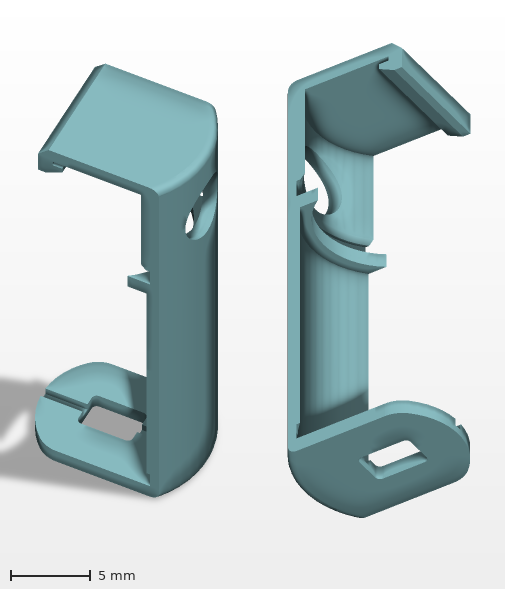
import cadquery as cq
import math

LENGTH = 11.5
WIDTH = 8.0
HEIGHT = 29.5
HALF_WIDTH = WIDTH / 2

OUTER_RADIUS = 6.35
AXIS_X = LENGTH - OUTER_RADIUS
UPPER_WALL_RADIUS = 5.43
LOWER_WALL_RADIUS = 5.7
WALL_RELIEF_RADIUS = 5.87
SHELF_RADIUS = 4.85
RIM_FILLET = 0.53

PLATE_THICKNESS = 1.0
LOWER_RELIEF_TOP = 2.12
SHELF_BOTTOM = 19.3
SHELF_TOP = SHELF_BOTTOM + PLATE_THICKNESS
UPPER_WALL_BOTTOM = 21.5
UPPER_WALL_BEVEL_HEIGHT = 0.38
UPPER_WALL_BEVEL_DEPTH = 0.25

TIP_RADIUS = 4.72
TIP_CORNER_RADIUS = 2.07
GROOVE_WIDTH = 0.68
GROOVE_DEPTH = 0.5
WINDOW_START = 2.95
WINDOW_END = 6.75
WINDOW_WIDTH = 2.55
WINDOW_FILLET = 0.35

ROOF_UNDERSIDE = HEIGHT - 0.97
ROOF_FRONT = 1.65
ROOF_BEVEL_LENGTH = 0.75
ROOF_BEVEL_HEIGHT = 0.7
HOOK_BOTTOM = 27.27
HOOK_TOE_END = 2.2
HOOK_INNER = 2.65
HOOK_TIP = 3.33
HOOK_TIP_BOTTOM = 27.83
HOOK_TIP_TOP = 28.2

OPENING_DIAMETER = 4.55
OPENING_HEIGHT = 24.6


def back_shell():
    """Stepped wall, its shelf, and the round backs of the plate and the roof."""
    bevel_top = UPPER_WALL_BOTTOM + UPPER_WALL_BEVEL_HEIGHT
    bevel_radius = UPPER_WALL_RADIUS + UPPER_WALL_BEVEL_DEPTH
    rim_radius = OUTER_RADIUS - RIM_FILLET
    revolved = (
        cq.Workplane("XZ")
        .moveTo(0, 0)
        .lineTo(rim_radius, 0)
        .radiusArc((OUTER_RADIUS, RIM_FILLET), -RIM_FILLET)
        .lineTo(OUTER_RADIUS, HEIGHT - RIM_FILLET)
        .radiusArc((rim_radius, HEIGHT), -RIM_FILLET)
        .lineTo(0, HEIGHT)
        .lineTo(0, ROOF_UNDERSIDE)
        .lineTo(UPPER_WALL_RADIUS, ROOF_UNDERSIDE)
        .lineTo(UPPER_WALL_RADIUS, bevel_top)
        .lineTo(bevel_radius, UPPER_WALL_BOTTOM)
        .lineTo(WALL_RELIEF_RADIUS, UPPER_WALL_BOTTOM)
        .lineTo(WALL_RELIEF_RADIUS, SHELF_TOP)
        .lineTo(SHELF_RADIUS, SHELF_TOP)
        .lineTo(SHELF_RADIUS, SHELF_BOTTOM)
        .lineTo(LOWER_WALL_RADIUS, SHELF_BOTTOM)
        .lineTo(LOWER_WALL_RADIUS, LOWER_RELIEF_TOP)
        .lineTo(WALL_RELIEF_RADIUS, LOWER_RELIEF_TOP)
        .lineTo(WALL_RELIEF_RADIUS, PLATE_THICKNESS)
        .lineTo(0, PLATE_THICKNESS)
        .close()
        .revolve(360, (0, 0), (0, 1))
        .translate((AXIS_X, 0, 0))
    )
    back_half = (
        cq.Workplane("XY")
        .box(OUTER_RADIUS, WIDTH, HEIGHT, centered=(False, True, False))
        .translate((AXIS_X, 0, 0))
    )
    return revolved.intersect(back_half)


def base_plate():
    """Front part of the plate, up to the wall axis, with a round tip blended into its straight sides."""
    corner_y = HALF_WIDTH - TIP_CORNER_RADIUS
    centre_distance = TIP_RADIUS - TIP_CORNER_RADIUS
    blend_angle = math.asin(corner_y / centre_distance)
    corner_x = TIP_RADIUS - centre_distance * math.cos(blend_angle)
    blend_x = TIP_RADIUS * (1 - math.cos(blend_angle))
    blend_y = TIP_RADIUS * math.sin(blend_angle)
    middle_angle = (blend_angle + math.pi / 2) / 2
    middle_x = corner_x - TIP_CORNER_RADIUS * math.cos(middle_angle)
    middle_y = corner_y + TIP_CORNER_RADIUS * math.sin(middle_angle)
    return (
        cq.Workplane("XY")
        .moveTo(AXIS_X, -HALF_WIDTH)
        .lineTo(corner_x, -HALF_WIDTH)
        .threePointArc((middle_x, -middle_y), (blend_x, -blend_y))
        .threePointArc((0, 0), (blend_x, blend_y))
        .threePointArc((middle_x, middle_y), (corner_x, HALF_WIDTH))
        .lineTo(AXIS_X, HALF_WIDTH)
        .close()
        .extrude(PLATE_THICKNESS)
    )


def base_groove():
    """Shallow centre groove from the plate tip to the curved foot of the wall."""
    groove_floor = cq.Workplane("XY", origin=(0, 0, PLATE_THICKNESS - GROOVE_DEPTH))
    strip = groove_floor.box(LENGTH, GROOVE_WIDTH, GROOVE_DEPTH, centered=(False, True, False))
    inside_wall = groove_floor.center(AXIS_X, 0).circle(WALL_RELIEF_RADIUS).extrude(GROOVE_DEPTH)
    return strip.intersect(inside_wall)


def base_window():
    """Rounded rectangular window through the plate."""
    return (
        cq.Workplane("XY")
        .center((WINDOW_START + WINDOW_END) / 2, 0)
        .rect(WINDOW_END - WINDOW_START, WINDOW_WIDTH)
        .extrude(PLATE_THICKNESS)
        .edges("|Z")
        .fillet(WINDOW_FILLET)
    )


def roof():
    """Front part of the roof, up to the wall axis, with a bevelled front edge and a snap hook below it."""
    section = [
        (AXIS_X, HEIGHT),
        (ROOF_FRONT + ROOF_BEVEL_LENGTH, HEIGHT),
        (ROOF_FRONT, HEIGHT - ROOF_BEVEL_HEIGHT),
        (ROOF_FRONT, HOOK_BOTTOM),
        (HOOK_TOE_END, HOOK_BOTTOM),
        (HOOK_TIP, HOOK_TIP_BOTTOM),
        (HOOK_TIP, HOOK_TIP_TOP),
        (HOOK_INNER, HOOK_TIP_TOP),
        (HOOK_INNER, ROOF_UNDERSIDE),
        (AXIS_X, ROOF_UNDERSIDE),
    ]
    return cq.Workplane("XZ").polyline(section).close().extrude(HALF_WIDTH, both=True)


def wall_opening():
    """Round hole along X through the upper wall."""
    return (
        cq.Workplane("YZ", origin=(AXIS_X, 0, 0))
        .center(0, OPENING_HEIGHT)
        .circle(OPENING_DIAMETER / 2)
        .extrude(OUTER_RADIUS)
    )


body = back_shell().union(base_plate()).union(roof())
result = body.cut(base_groove()).cut(base_window()).cut(wall_opening())